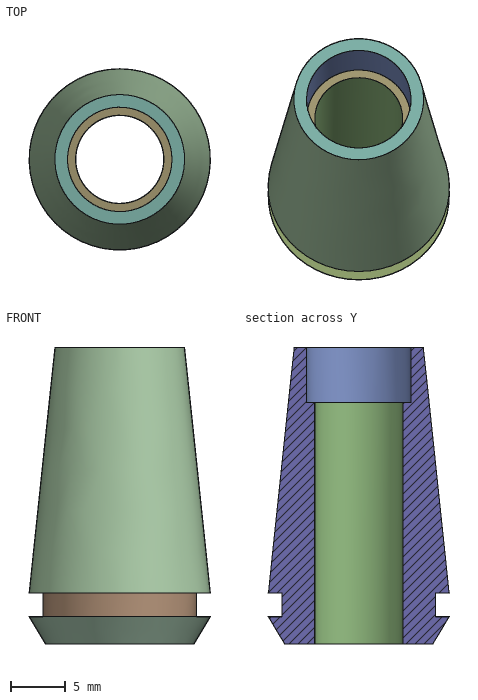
import cadquery as cq

total_length = 27.0
max_diameter = 16.5

flange_base_diameter = 13.5
flange_height = 2.5
groove_diameter = 14.0
groove_width = 2.15

tip_diameter = 11.8
taper_start = flange_height + groove_width

through_bore_diameter = 8.0
relief_bore_diameter = 9.5
relief_bore_depth = 5.0


def frustum(base_diameter, top_diameter, base_z, top_z):
    """Cone frustum about the Z axis between two heights."""
    half_section = [
        (0, base_z),
        (base_diameter / 2, base_z),
        (top_diameter / 2, top_z),
        (0, top_z),
    ]
    return cq.Workplane("YZ").polyline(half_section).close().revolve(360, (0, 0), (0, 1))


def cylinder(diameter, base_z, top_z):
    """Cylinder about the Z axis between two heights."""
    return cq.Workplane("XY").workplane(offset=base_z).circle(diameter / 2).extrude(top_z - base_z)


flange = frustum(flange_base_diameter, max_diameter, 0, flange_height)
neck = cylinder(groove_diameter, flange_height, taper_start)
body = frustum(max_diameter, tip_diameter, taper_start, total_length)

through_bore = cylinder(through_bore_diameter, 0, total_length)
relief_bore = cylinder(relief_bore_diameter, total_length - relief_bore_depth, total_length)

result = flange.union(neck).union(body).cut(through_bore).cut(relief_bore)